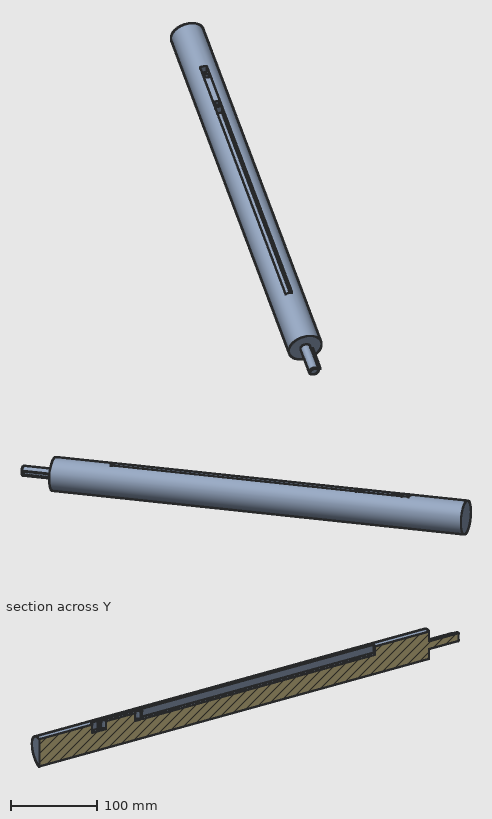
import cadquery as cq

total_length = 538.0
body_diameter = 40.0
body_length = 500.0
shaft_diameter = 12.0
shaft_chamfer = 1.0

key_length = 32.5
key_width = 4.0
key_projection = 2.0
key_shoulder_gap = 3.0

slot_start = 68.5
slot_length = 362.0
slot_width = 8.0
slot_depth = 12.0

insert_offset = 8.5
insert_length = 55.5
insert_recess = 0.5
hole_diameter = 6.0
hole_edge_distance = 6.0

body_radius = body_diameter / 2
shaft_radius = shaft_diameter / 2
shaft_length = total_length - body_length
slot_floor = body_radius - slot_depth
insert_height = slot_depth - insert_recess
insert_start = slot_start + insert_offset


def block(start, length, width, height, base):
    """Box running along X, centred on Y, standing on the given Z level."""
    return (
        cq.Workplane("XY", origin=(start, 0, base))
        .box(length, width, height, centered=(False, True, False))
    )


def make_shaft():
    return (
        cq.Workplane("YZ", origin=(body_length, 0, 0))
        .circle(shaft_radius)
        .extrude(shaft_length)
        .faces(">X")
        .chamfer(shaft_chamfer)
    )


def make_key():
    key_center = body_length + key_shoulder_gap + key_length / 2
    key = (
        cq.Workplane("XY")
        .center(key_center, 0)
        .slot2D(key_length, key_width)
        .extrude(shaft_radius + key_projection)
    )
    return key.rotate((0, 0, 0), (1, 0, 0), -90)


def make_insert():
    insert = block(insert_start, insert_length, slot_width, insert_height, slot_floor)
    hole_centers = [
        (insert_start + hole_edge_distance, 0),
        (insert_start + insert_length - hole_edge_distance, 0),
    ]
    holes = (
        cq.Workplane("XY", origin=(0, 0, slot_floor))
        .pushPoints(hole_centers)
        .circle(hole_diameter / 2)
        .extrude(insert_height)
    )
    return insert.cut(holes)


body = cq.Workplane("YZ").circle(body_radius).extrude(body_length)
slot = block(slot_start, slot_length, slot_width, slot_depth, slot_floor)

result = body.cut(slot).union(make_insert()).union(make_shaft()).union(make_key())